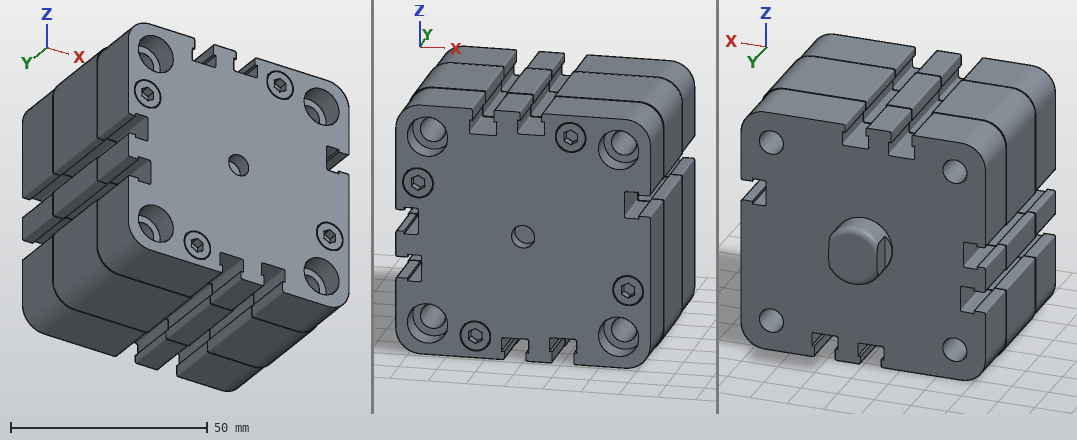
import cadquery as cq
import math

BAND_SIZE = 67.0
CAP_STEP = 0.2
CAP_MOUTH_STEP = 0.1
CORNER_RADIUS = 6.55
BODY_LENGTH = 50.5
CAP_LENGTH = 14.75

SLOT_MOUTH_WIDTH = 5.4
SLOT_ROOM_WIDTH = 6.7
SLOT_ROOM_HEIGHT = 3.5
SLOT_EDGE_RADIUS = 0.55
SLOT_FLOOR_RADIUS = 0.35
DEEP_SLOT_OFFSET = -10.45
DEEP_SLOT_LIP = 3.3
SHALLOW_SLOT_OFFSET = 2.1
SHALLOW_SLOT_LIP = 2.4
DEEP_SLOT_SIDES = 4
SHALLOW_SLOT_SIDES = 3
SLOT_OVERSHOOT = 0.7

MOUNT_PITCH = 50.0
MOUNT_DIAMETER = 6.55
MOUNT_BORE_DIAMETER = 10.5
MOUNT_BORE_DEPTH = 6.2

SCREW_X = 12.45
SCREW_Z = 27.5
SCREW_COUNT = 4
SCREW_SEAT_DIAMETER = 8.05
SCREW_HEAD_DIAMETER = 7.6
SCREW_GAP_DEPTH = 3.35
SOCKET_ACROSS_FLATS = 3.5
SOCKET_DEPTH = 2.7

PORT_DIAMETER = 6.0
PORT_DEPTH = 4.0

ROD_DIAMETER = 16.0
ROD_LENGTH = 7.5
ROD_TIP_RADIUS = 1.7
ROD_ACROSS_FLATS = 13.1
ROD_FLAT_LENGTH = 5.7


def xz_plane(start_y=0.0):
    """Sketch plane with local x, y along X, Z; a negative extrusion runs toward +Y."""
    return cq.Workplane("XZ", origin=(0, start_y, 0))


def quarter_turns(shape, count):
    """Copies of a shape turned about Y, starting at the top and going to -Z by way of -X."""
    return [shape.rotate((0, 0, 0), (0, 1, 0), -90 * turn) for turn in range(count)]


def slot_cutter(offset, lip, start_y, length, inset, mouth_inset):
    """Undercut slot in the top face with rounded mouth edges; the insets open it out."""
    half_mouth = SLOT_MOUTH_WIDTH / 2 + mouth_inset
    half_room = SLOT_ROOM_WIDTH / 2 + inset
    half_flare = half_mouth + SLOT_EDGE_RADIUS
    top = BAND_SIZE / 2 - inset
    lip_bottom = BAND_SIZE / 2 - lip
    floor = lip_bottom - SLOT_ROOM_HEIGHT - inset
    flare_arc = SLOT_EDGE_RADIUS * (1 - math.sqrt(0.5))
    arc_x = half_mouth + flare_arc
    arc_z = top - flare_arc

    mouth = (
        xz_plane(start_y)
        .center(offset, 0)
        .moveTo(-half_mouth, floor)
        .lineTo(-half_mouth, top - SLOT_EDGE_RADIUS)
        .threePointArc((-arc_x, arc_z), (-half_flare, top))
        .lineTo(-half_flare, top + SLOT_OVERSHOOT)
        .lineTo(half_flare, top + SLOT_OVERSHOOT)
        .lineTo(half_flare, top)
        .threePointArc((arc_x, arc_z), (half_mouth, top - SLOT_EDGE_RADIUS))
        .lineTo(half_mouth, floor)
        .close()
        .extrude(-length)
    )
    room = (
        xz_plane(start_y)
        .center(offset, (lip_bottom + floor) / 2)
        .rect(2 * half_room, lip_bottom - floor)
        .extrude(-length)
        .edges("|Y and <Z")
        .fillet(SLOT_FLOOR_RADIUS + inset)
    )
    return mouth.union(room)


def body_section(start_y, length, inset=0.0, mouth_inset=0.0):
    """One slotted slice of the body, its outer faces and slot walls moved into the metal."""
    size = BAND_SIZE - 2 * inset
    section = xz_plane(start_y).rect(size, size).extrude(-length)
    section = section.edges("|Y").fillet(CORNER_RADIUS)
    deep = slot_cutter(DEEP_SLOT_OFFSET, DEEP_SLOT_LIP, start_y, length, inset, mouth_inset)
    shallow = slot_cutter(SHALLOW_SLOT_OFFSET, SHALLOW_SLOT_LIP, start_y, length, inset, mouth_inset)
    for slot in quarter_turns(deep, DEEP_SLOT_SIDES) + quarter_turns(shallow, SHALLOW_SLOT_SIDES):
        section = section.cut(slot)
    return section


def mounting_holes():
    """Through holes at the corners, counterbored from the front."""
    corners = xz_plane().rect(MOUNT_PITCH, MOUNT_PITCH, forConstruction=True).vertices()
    holes = corners.circle(MOUNT_DIAMETER / 2).extrude(-BODY_LENGTH)
    bores = corners.circle(MOUNT_BORE_DIAMETER / 2).extrude(-MOUNT_BORE_DEPTH)
    return holes.union(bores)


def screw_cuts():
    """Gap around each screw head and the hexagon socket in it."""
    seat = xz_plane().center(SCREW_X, SCREW_Z)
    gap = seat.circle(SCREW_SEAT_DIAMETER / 2).circle(SCREW_HEAD_DIAMETER / 2).extrude(-SCREW_GAP_DEPTH)
    across_corners = SOCKET_ACROSS_FLATS / math.cos(math.pi / 6)
    socket = seat.polygon(6, across_corners).extrude(-SOCKET_DEPTH)
    cuts = []
    for turn in range(SCREW_COUNT):
        socket_twist = 30 + 90 * turn
        upright = socket.rotate((SCREW_X, 0, SCREW_Z), (SCREW_X, 1, SCREW_Z), socket_twist)
        cuts.append(gap.union(upright).rotate((0, 0, 0), (0, 1, 0), -90 * turn))
    return cuts


def piston_rod():
    """Round-nosed rod with two flats on the X sides, each ending in a 45 degree run-out."""
    tip = BODY_LENGTH + ROD_LENGTH
    rod = xz_plane(BODY_LENGTH).circle(ROD_DIAMETER / 2).extrude(-ROD_LENGTH)
    rod = rod.faces(">Y").edges().fillet(ROD_TIP_RADIUS)
    flat_x = ROD_ACROSS_FLATS / 2
    flat_end = tip - ROD_FLAT_LENGTH
    run_out = ROD_DIAMETER / 2 - flat_x
    flat = (
        cq.Workplane("XY")
        .moveTo(flat_x, tip)
        .lineTo(flat_x, flat_end)
        .lineTo(flat_x + run_out, flat_end - run_out)
        .lineTo(flat_x + run_out, tip)
        .close()
        .extrude(ROD_DIAMETER / 2, both=True)
    )
    return rod.cut(flat).cut(flat.mirror("YZ"))


front_cap = body_section(0, CAP_LENGTH, CAP_STEP, CAP_MOUTH_STEP)
band = body_section(CAP_LENGTH, BODY_LENGTH - 2 * CAP_LENGTH)
rear_cap = body_section(BODY_LENGTH - CAP_LENGTH, CAP_LENGTH, CAP_STEP, CAP_MOUTH_STEP)
body = front_cap.union(band).union(rear_cap)

body = body.cut(mounting_holes())
for screw_cut in screw_cuts():
    body = body.cut(screw_cut)
body = body.cut(xz_plane().circle(PORT_DIAMETER / 2).extrude(-PORT_DEPTH))

result = body.union(piston_rod())